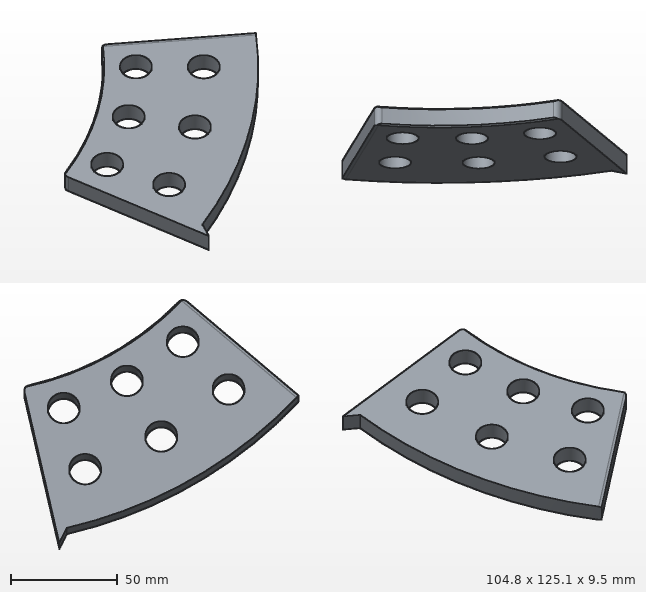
import cadquery as cq
import math

segment_angle = 36.0
inner_radius = 140.0
outer_radius = 212.8
thickness = 9.5
corner_radius = 3.0

lip_tip_radius = 219.2
lip_height = 5.0

hole_diameter = 15.0
hole_ring_radii = (155.5, 187.3)
holes_per_ring = 3

arc_chamfer = 0.8
side_chamfer_width = 1.5
side_chamfer_depth = 0.4

cut_margin = 6.3


def polar(radius, angle):
    """Point at a radius and an angle in degrees about the arc centre."""
    return (radius * math.cos(math.radians(angle)), radius * math.sin(math.radians(angle)))


def segment_plate():
    """Ring segment with the pointed lip and rounded inner corners, centred on Z = 0."""
    lip_root_angle = math.degrees(math.asin(lip_height / outer_radius))
    plate = (
        cq.Workplane("XY", origin=(0, 0, -thickness / 2))
        .moveTo(inner_radius, 0)
        .lineTo(lip_tip_radius, 0)
        .lineTo(*polar(outer_radius, lip_root_angle))
        .threePointArc(polar(outer_radius, segment_angle / 2), polar(outer_radius, segment_angle))
        .lineTo(*polar(inner_radius, segment_angle))
        .threePointArc(polar(inner_radius, segment_angle / 2), (inner_radius, 0))
        .close()
        .extrude(thickness)
    )
    inner_corners = [cq.Vector(*polar(inner_radius, angle), 0) for angle in (0, segment_angle)]
    for corner in inner_corners:
        plate = plate.edges(cq.selectors.NearestToPointSelector(corner)).fillet(corner_radius)
    return plate


def hole_cutters():
    """Through-hole cylinders, centred in equal angular shares of the segment."""
    share = segment_angle / holes_per_ring
    centers = [
        polar(radius, (index + 0.5) * share)
        for radius in hole_ring_radii
        for index in range(holes_per_ring)
    ]
    return (
        cq.Workplane("XY", origin=(0, 0, -thickness / 2))
        .pushPoints(centers)
        .circle(hole_diameter / 2)
        .extrude(thickness)
    )


def arc_chamfer_cutter():
    """Conical ring that bevels the top edge of the inner arc."""
    top = thickness / 2
    return (
        cq.Workplane("XZ")
        .moveTo(inner_radius + arc_chamfer, top)
        .lineTo(inner_radius - cut_margin, top - arc_chamfer - cut_margin)
        .lineTo(inner_radius - cut_margin, top)
        .close()
        .revolve(360, (0, 0, 0), (0, 1, 0))
    )


def side_chamfer_cutter():
    """Shallow wedge that bevels the top edge of the slanted side."""
    top = thickness / 2
    slope = side_chamfer_depth / side_chamfer_width
    wedge = (
        cq.Workplane("YZ")
        .moveTo(-side_chamfer_width, top)
        .lineTo(cut_margin, top - side_chamfer_depth - slope * cut_margin)
        .lineTo(cut_margin, top)
        .close()
        .extrude(outer_radius + cut_margin)
    )
    return wedge.rotate((0, 0, 0), (0, 0, 1), segment_angle)


result = segment_plate().cut(hole_cutters())
for top_cutter in (arc_chamfer_cutter(), side_chamfer_cutter()):
    result = result.cut(top_cutter)
    result = result.cut(top_cutter.mirror("XY"))